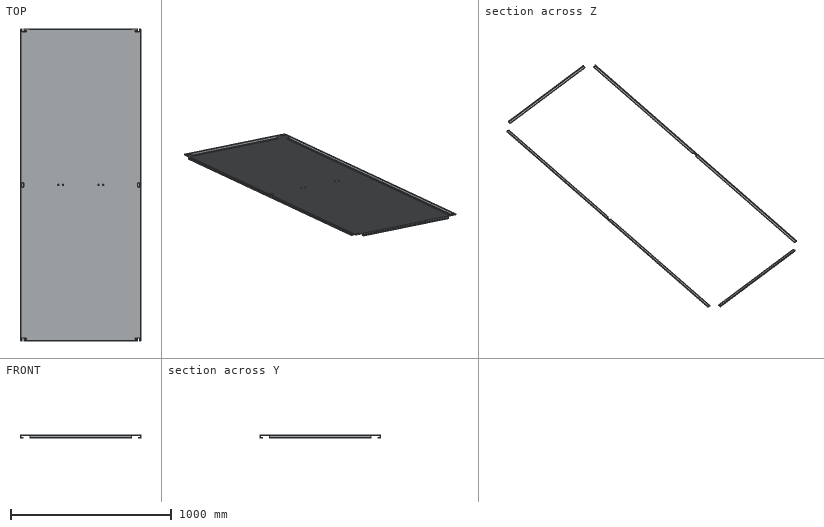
import cadquery as cq
width = 749.0
length = 1940.0
height = 18.0
sheet = 2.3
corner_radius = 5.0

side_lip = 15.0
side_flange_length = 1841.0
end_lip = 15.0
end_flange_length = 632.0

slot_length = 27.0
slot_width = 12.0
slot_inset = 14.0

notch_width = 12.0
notch_depth = 17.0
notch_inset = 15.0
branch_width = 5.0
branch_reach = 35.0

hole_diameter = 5.0
hole_offsets = (110.0, 140.0)


def on_plate():
    """Workplane on the underside of the plate."""
    return cq.Workplane("XY", origin=(0, 0, height - sheet))


def folded_edge(reach, lip, run):
    """Wall and inward lip along the edge at x = -reach, centred on y = 0."""
    wall = -reach
    profile = (
        cq.Workplane("XZ")
        .moveTo(wall, height)
        .lineTo(wall, 0)
        .lineTo(wall + lip, 0)
        .lineTo(wall + lip, sheet)
        .lineTo(wall + sheet, sheet)
        .lineTo(wall + sheet, height)
        .close()
    )
    return profile.extrude(run / 2, both=True)


def corner_cutout():
    """Open notch with its inward slot at the -X, -Y corner."""
    side = -width / 2
    end = -length / 2
    near = side + notch_inset - notch_width / 2
    far = near + notch_width
    inner = side + branch_reach
    bottom = end + notch_depth
    return (
        on_plate()
        .moveTo(near, end)
        .lineTo(near, bottom)
        .lineTo(inner, bottom)
        .lineTo(inner, bottom - branch_width)
        .lineTo(far, bottom - branch_width)
        .lineTo(far, end)
        .close()
        .extrude(sheet)
    )


plate = on_plate().rect(width, length).extrude(sheet)
result = plate.edges("|Z").fillet(corner_radius)

side_edge = folded_edge(width / 2, side_lip, side_flange_length)
end_edge = folded_edge(length / 2, end_lip, end_flange_length).rotate((0, 0, 0), (0, 0, 1), 90)
for edge in (side_edge, end_edge):
    opposite = edge.rotate((0, 0, 0), (0, 0, 1), 180)
    result = result.union(edge).union(opposite)

front_corner = corner_cutout()
for corner in (front_corner, front_corner.mirror("XZ")):
    result = result.cut(corner).cut(corner.mirror("YZ"))

slot_x = width / 2 - slot_inset
slots = (
    cq.Workplane("XY")
    .pushPoints([(-slot_x, 0), (slot_x, 0)])
    .slot2D(slot_length, slot_width, 90)
    .extrude(height)
)
result = result.cut(slots)

hole_points = [(side * offset, 0) for side in (-1, 1) for offset in hole_offsets]
holes = on_plate().pushPoints(hole_points).circle(hole_diameter / 2).extrude(sheet)
result = result.cut(holes)